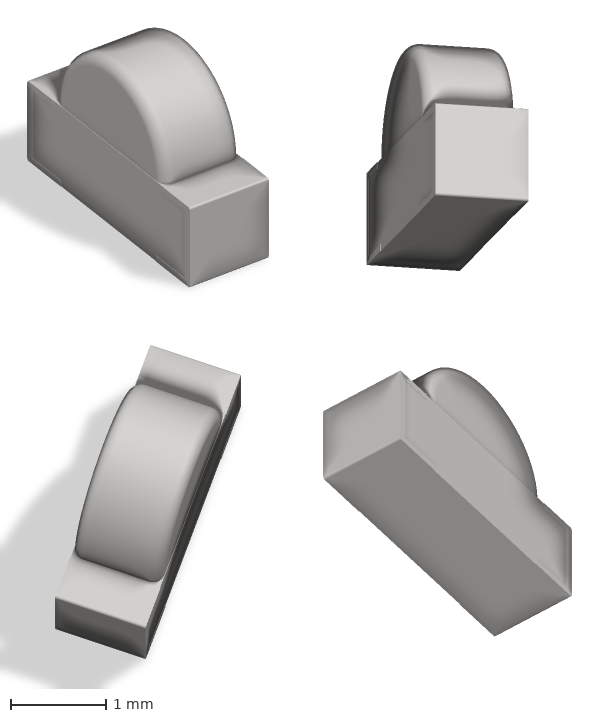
import cadquery as cq

LENGTH = 3.0
BODY_HEIGHT = 1.001
BODY_DEPTH = 1.0

LENS_RADIUS = 1.0
LENS_SETBACK = 0.005
LENS_DEPTH = BODY_DEPTH - 2 * LENS_SETBACK
LENS_EDGE_RADIUS = 0.128

SIDE_PROUD = 0.005
TOP_PROUD = 0.002
TERMINAL_DEPTH = BODY_DEPTH + 2 * SIDE_PROUD
TERMINAL_HEIGHT = BODY_HEIGHT + TOP_PROUD
TERMINAL_CORNER_RADIUS = 0.025
END_THICKNESS = 0.095
TOP_THICKNESS = 0.08
BOTTOM_THICKNESS = 0.075
TOP_ARM_LENGTH = 0.475
BOTTOM_ARM_LENGTH = 0.625


def extrude_about_xz_plane(profile, depth):
    """Extrude an XZ profile by equal amounts towards -Y and +Y."""
    return profile.extrude(depth / 2, both=True)


def make_body():
    """Rectangular block that fills the space between the terminal ends."""
    profile = cq.Workplane("XZ").center(0, BODY_HEIGHT / 2)
    profile = profile.rect(LENGTH - 2 * END_THICKNESS, BODY_HEIGHT)
    return extrude_about_xz_plane(profile, BODY_DEPTH)


def make_lens():
    """Half-cylinder lens with its curved front and back rims rounded."""
    profile = (
        cq.Workplane("XZ")
        .moveTo(-LENS_RADIUS, BODY_HEIGHT)
        .threePointArc((0, BODY_HEIGHT + LENS_RADIUS), (LENS_RADIUS, BODY_HEIGHT))
        .close()
    )
    lens = extrude_about_xz_plane(profile, LENS_DEPTH)
    return lens.edges("%CIRCLE").fillet(LENS_EDGE_RADIUS)


def make_left_terminal():
    """C-shaped cap at the -X end, with rounded outer corners."""
    outer_x = -LENGTH / 2
    inner_x = outer_x + END_THICKNESS
    top_arm_x = outer_x + TOP_ARM_LENGTH
    bottom_arm_x = outer_x + BOTTOM_ARM_LENGTH
    top_arm_underside = TERMINAL_HEIGHT - TOP_THICKNESS
    profile = (
        cq.Workplane("XZ")
        .moveTo(outer_x, 0)
        .lineTo(bottom_arm_x, 0)
        .lineTo(bottom_arm_x, BOTTOM_THICKNESS)
        .lineTo(inner_x, BOTTOM_THICKNESS)
        .lineTo(inner_x, top_arm_underside)
        .lineTo(top_arm_x, top_arm_underside)
        .lineTo(top_arm_x, TERMINAL_HEIGHT)
        .lineTo(outer_x, TERMINAL_HEIGHT)
        .close()
    )
    terminal = extrude_about_xz_plane(profile, TERMINAL_DEPTH)
    return terminal.faces("<X").edges("|Y").fillet(TERMINAL_CORNER_RADIUS)


left_terminal = make_left_terminal()
right_terminal = left_terminal.mirror("YZ")

result = make_body().union(make_lens()).union(left_terminal).union(right_terminal)